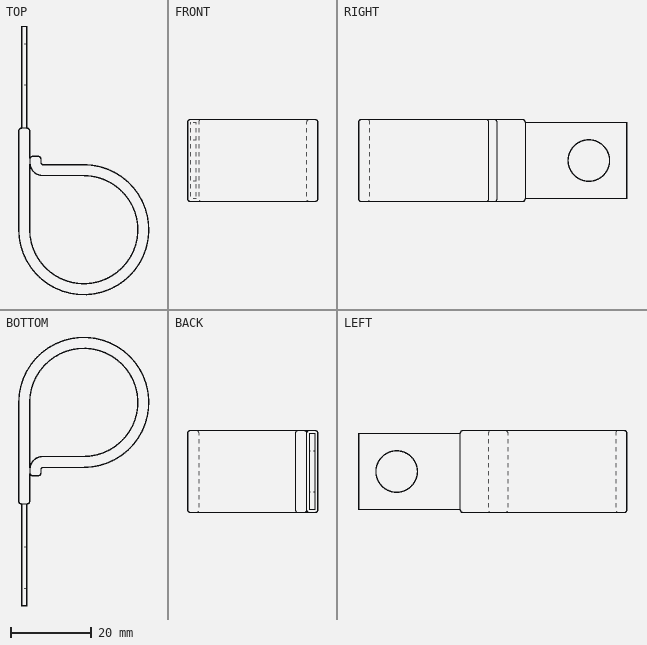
import cadquery as cq
import math

strap_thickness = 1.27
strap_width = 19.05
cushion_wall = 0.76
cushion_thickness = strap_thickness + 2 * cushion_wall
cushion_width = strap_width + 2 * cushion_wall

loop_outer_radius = 16.27
loop_inner_radius = loop_outer_radius - cushion_thickness
loop_mid_radius = loop_outer_radius - cushion_thickness / 2

cushion_leg_end = 25.4
tab_end = 50.8
hole_diameter = 10.32
hole_from_tab_end = 9.525

top_run_length = 10.22
lip_gap_to_leg = 0.02
lip_length = 1.63
bend_outer_radius = loop_inner_radius - lip_gap_to_leg - top_run_length
lip_bend_radius = bend_outer_radius - cushion_thickness / 2
bend_inner_radius = lip_bend_radius - cushion_thickness / 2
bend_center_y = loop_mid_radius + lip_bend_radius
lip_end_y = bend_center_y + lip_length


def on_arc(center_x, center_y, radius, degrees):
    """Point on a circle at the given angle from +X."""
    angle = math.radians(degrees)
    return (center_x + radius * math.cos(angle), center_y + radius * math.sin(angle))


def make_cushion():
    """Constant-thickness loop with leg and lip, rounded along every edge."""
    lip_outer_x = -top_run_length - bend_outer_radius
    lip_inner_x = -top_run_length - bend_inner_radius
    bend_middle = 225
    loop_middle = -45
    band = (
        cq.Workplane("XY")
        .workplane(offset=-cushion_width / 2)
        .moveTo(-loop_outer_radius, cushion_leg_end)
        .lineTo(-loop_outer_radius, 0)
        .threePointArc(on_arc(0, 0, loop_outer_radius, loop_middle), (0, loop_outer_radius))
        .lineTo(-top_run_length, loop_outer_radius)
        .threePointArc(
            on_arc(-top_run_length, bend_center_y, bend_inner_radius, bend_middle),
            (lip_inner_x, bend_center_y),
        )
        .lineTo(lip_inner_x, lip_end_y)
        .lineTo(lip_outer_x, lip_end_y)
        .lineTo(lip_outer_x, bend_center_y)
        .threePointArc(
            on_arc(-top_run_length, bend_center_y, bend_outer_radius, bend_middle),
            (-top_run_length, loop_inner_radius),
        )
        .lineTo(0, loop_inner_radius)
        .threePointArc(on_arc(0, 0, loop_inner_radius, loop_middle), (-loop_inner_radius, 0))
        .lineTo(-loop_inner_radius, cushion_leg_end)
        .close()
        .extrude(cushion_width)
    )
    end_faces = band.faces("+Y").edges("|Z")
    rims = band.faces("|Z").edges()
    return band.newObject(end_faces.vals() + rims.vals()).fillet(cushion_wall)


def make_tab():
    """Bare end of the strap with its mounting hole."""
    tab_length = tab_end - cushion_leg_end
    tab = cq.Workplane("XY").box(strap_thickness, tab_length, strap_width)
    tab = tab.translate((-loop_mid_radius, (cushion_leg_end + tab_end) / 2, 0))
    hole = (
        cq.Workplane("YZ")
        .center(tab_end - hole_from_tab_end, 0)
        .circle(hole_diameter / 2)
        .extrude(strap_thickness, both=True)
        .translate((-loop_mid_radius, 0, 0))
    )
    return tab.cut(hole)


result = make_cushion().union(make_tab())